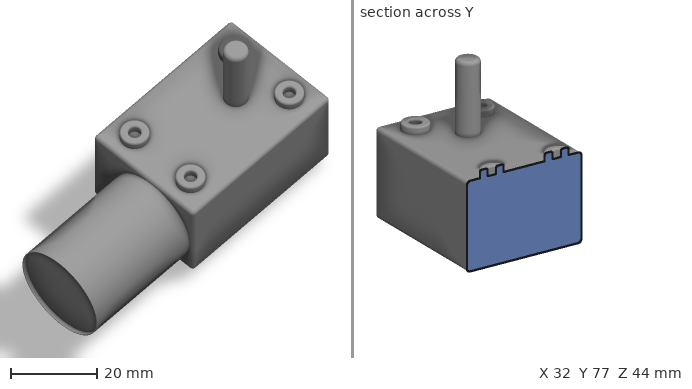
import cadquery as cq

BOX_WIDTH = 32.0
BOX_LENGTH = 46.0
BOX_HEIGHT = 23.0
BOX_FILLET = 1.0

MOTOR_DIAMETER = 24.0
MOTOR_LENGTH = 31.0
MOTOR_X = 3.0
MOTOR_OVERHANG = 2.0
MOTOR_Z = MOTOR_DIAMETER / 2 - MOTOR_OVERHANG
RECESS_DIAMETER = 23.6
RECESS_DEPTH = 1.0

SHAFT_DIAMETER = 6.0
SHAFT_LENGTH = 19.0
SHAFT_FILLET = 1.0
SHAFT_FROM_BACK = 15.0
SHAFT_Y = BOX_LENGTH / 2 - SHAFT_FROM_BACK

BOSS_DIAMETER = 7.0
BOSS_HEIGHT = 2.0
BOSS_HOLE_DIAMETER = 3.0
BOSS_FILLET = 0.5
BOSS_SPACING_X = 18.0
BOSS_SPACING_Y = 33.0


def make_housing():
    """Block with every edge rounded."""
    block = cq.Workplane("XY").box(BOX_WIDTH, BOX_LENGTH, BOX_HEIGHT, centered=(True, True, False))
    return block.edges().fillet(BOX_FILLET)


def make_motor():
    """Cylinder along -Y with a shallow recess in its free end."""
    can = (
        cq.Workplane("XZ", origin=(MOTOR_X, -BOX_LENGTH / 2, MOTOR_Z))
        .circle(MOTOR_DIAMETER / 2)
        .extrude(MOTOR_LENGTH)
    )
    return can.faces("<Y").workplane(centerOption="CenterOfMass").hole(RECESS_DIAMETER, RECESS_DEPTH)


def make_shaft():
    """Upright output shaft with a rounded tip."""
    shaft = (
        cq.Workplane("XY", origin=(0, SHAFT_Y, BOX_HEIGHT))
        .circle(SHAFT_DIAMETER / 2)
        .extrude(SHAFT_LENGTH)
    )
    return shaft.faces(">Z").edges().fillet(SHAFT_FILLET)


def make_bosses():
    """Four rings at the corners of a rectangle, rounded at the rim and at the hole mouth."""
    bosses = (
        cq.Workplane("XY", origin=(0, 0, BOX_HEIGHT))
        .rect(BOSS_SPACING_X, BOSS_SPACING_Y, forConstruction=True)
        .vertices()
        .circle(BOSS_DIAMETER / 2)
        .circle(BOSS_HOLE_DIAMETER / 2)
        .extrude(BOSS_HEIGHT)
    )
    return bosses.faces(">Z").edges().fillet(BOSS_FILLET)


result = make_housing().union(make_motor()).union(make_shaft()).union(make_bosses())